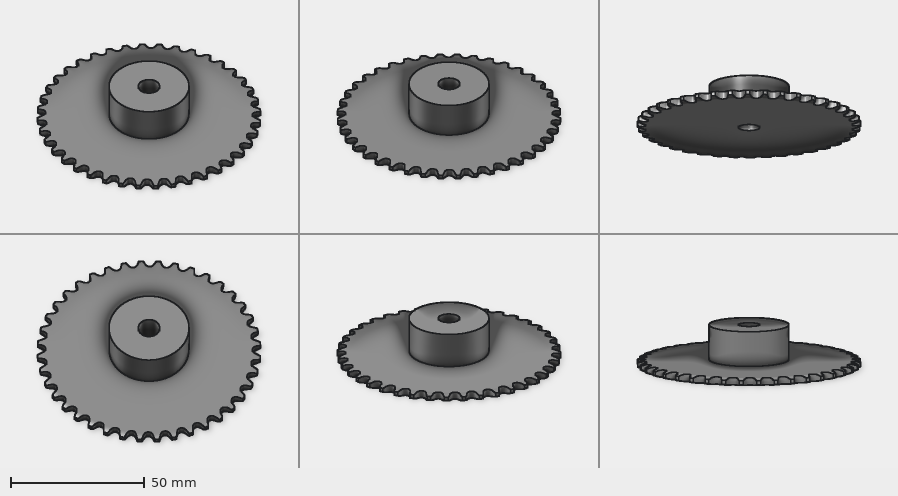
import cadquery as cq
import math

tooth_count = 40
chain_pitch = 6.35
roller_diameter = 3.302
outside_diameter = 83.7
plate_thickness = 2.8
overall_height = 16.0
hub_diameter = 30.0
bore_diameter = 8.0

bevel_start_diameter = 77.9
bevel_arc_radius = 7.0

seat_size_ratio = 1.005
seat_clearance = 0.076
seat_end_angle = math.radians(35 + 60 / tooth_count)
working_curve_angle = math.radians(18 - 56 / tooth_count)
working_centre_distance = 0.8 * roller_diameter
topping_centre_distance = 1.4 * roller_diameter

pitch_radius = chain_pitch / (2 * math.sin(math.pi / tooth_count))
seat_radius = (seat_size_ratio * roller_diameter + seat_clearance) / 2
outside_radius = outside_diameter / 2
bevel_start_radius = bevel_start_diameter / 2
bevel_width = outside_radius - bevel_start_radius
bevel_depth = bevel_arc_radius - math.sqrt(bevel_arc_radius**2 - bevel_width**2)
gap_step = 2 * math.pi / tooth_count


def make_blank():
    """Round plate with its rim rounded off on both faces, centred on the Z axis."""
    half_section = (
        cq.Workplane("XZ")
        .lineTo(bevel_start_radius, 0)
        .radiusArc((outside_radius, bevel_depth), -bevel_arc_radius)
        .lineTo(outside_radius, plate_thickness - bevel_depth)
        .radiusArc((bevel_start_radius, plate_thickness), -bevel_arc_radius)
        .lineTo(0, plate_thickness)
        .close()
    )
    return half_section.revolve(360, (0, 0, 0), (0, 1, 0))


def polar(centre, radius, angle):
    """Point at a radius and angle from a centre."""
    return (centre[0] + radius * math.cos(angle), centre[1] + radius * math.sin(angle))


def mirrored(point):
    """Reflect a point across the gap centre line (the X axis)."""
    return (point[0], -point[1])


def rotated(point, angle):
    """Turn a point about the sprocket axis."""
    x, y = point
    return (x * math.cos(angle) - y * math.sin(angle), x * math.sin(angle) + y * math.cos(angle))


def half_gap_points():
    """Points along the +Y half of a tooth gap centred on +X, from the gap bottom to the tip corner.

    A roller seat runs into a concave working curve, a short straight and a convex topping curve.
    """
    seat_centre = (pitch_radius, 0)
    seat_bottom = (pitch_radius - seat_radius, 0)

    lateral = math.pi / 2
    seat_end_direction = lateral + seat_end_angle
    seat_middle = polar(seat_centre, seat_radius, (math.pi + seat_end_direction) / 2)
    seat_end = polar(seat_centre, seat_radius, seat_end_direction)

    working_centre = polar(seat_centre, -working_centre_distance, seat_end_direction)
    working_radius = seat_radius + working_centre_distance
    flank_direction = seat_end_direction - working_curve_angle
    working_middle = polar(working_centre, working_radius, seat_end_direction - working_curve_angle / 2)
    working_end = polar(working_centre, working_radius, flank_direction)

    topping_centre = polar(seat_centre, topping_centre_distance, lateral + math.pi / tooth_count)
    offset_x = topping_centre[0] - working_end[0]
    offset_y = topping_centre[1] - working_end[1]
    topping_radius = offset_x * math.cos(flank_direction) + offset_y * math.sin(flank_direction)
    straight_end = polar(topping_centre, -topping_radius, flank_direction)

    centre_distance = math.hypot(*topping_centre)
    corner_offset_cosine = (centre_distance**2 + outside_radius**2 - topping_radius**2) / (
        2 * centre_distance * outside_radius
    )
    corner_direction = math.atan2(topping_centre[1], topping_centre[0]) - math.acos(corner_offset_cosine)
    tip_corner = polar((0, 0), outside_radius, corner_direction)
    corner_angle = math.atan2(tip_corner[1] - topping_centre[1], tip_corner[0] - topping_centre[0])
    straight_angle = flank_direction - math.pi
    topping_middle = polar(topping_centre, topping_radius, (corner_angle + straight_angle) / 2)

    return [
        seat_bottom,
        seat_middle,
        seat_end,
        working_middle,
        working_end,
        straight_end,
        topping_middle,
        tip_corner,
    ]


def make_tooth_wedge():
    """Wedge of the plate with rounded-off faces, from the axis to one tooth centred on the +X axis."""
    flank = [rotated(point, -gap_step / 2) for point in half_gap_points()]
    bottom, seat_middle, seat_end, working_middle, working_end, straight_end, topping_middle, corner = flank
    wedge = (
        cq.Workplane("XY")
        .lineTo(*bottom)
        .threePointArc(seat_middle, seat_end)
        .threePointArc(working_middle, working_end)
        .lineTo(*straight_end)
        .threePointArc(topping_middle, corner)
        .threePointArc((outside_radius, 0), mirrored(corner))
        .threePointArc(mirrored(topping_middle), mirrored(straight_end))
        .lineTo(*mirrored(working_end))
        .threePointArc(mirrored(working_middle), mirrored(seat_end))
        .threePointArc(mirrored(seat_middle), mirrored(bottom))
        .close()
        .extrude(plate_thickness)
    )
    return wedge.intersect(make_blank()).val()


def make_sprocket():
    """Ring of equal tooth wedges fused with the hub; a gap lies on the +X axis."""
    wedge = make_tooth_wedge()
    wedges = []
    for index in range(tooth_count):
        turn = math.degrees((index + 0.5) * gap_step)
        wedges.append(wedge.rotate(cq.Vector(0, 0, 0), cq.Vector(0, 0, 1), turn))
    body = make_hub().val().fuse(*wedges).clean()
    return cq.Workplane("XY").newObject([body])


def make_hub():
    """Plain cylindrical hub standing on the plate's upper face."""
    hub_height = overall_height - plate_thickness
    return cq.Workplane("XY", origin=(0, 0, plate_thickness)).circle(hub_diameter / 2).extrude(hub_height)


def make_bore():
    """Through bore along the sprocket axis."""
    return cq.Workplane("XY").circle(bore_diameter / 2).extrude(overall_height)


result = make_sprocket().cut(make_bore())